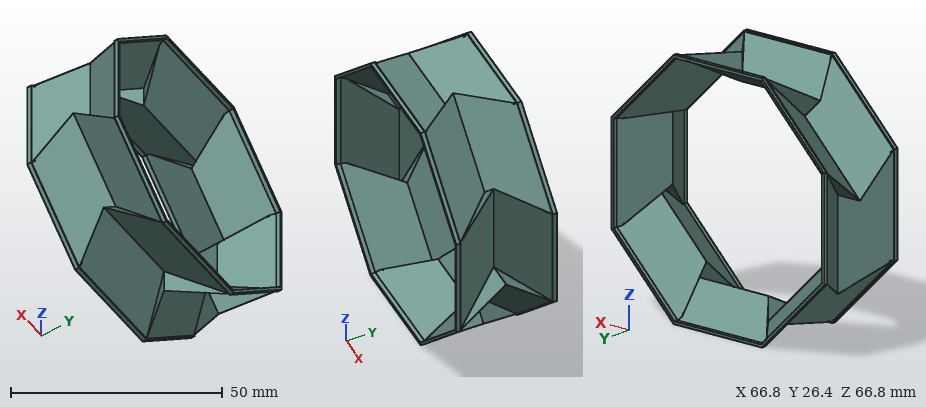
import cadquery as cq
import math

width = 66.8
depth = 26.4
rim_depth = 1.15
rim_step = 0.3
wall = 0.4
lean = math.radians(30)
sides = 8

half_turn = math.pi / sides
rim_apothem = width / 2
half_depth = depth / 2
pleat_half = half_depth - rim_depth
outer_apothem = rim_apothem - rim_step
bore_apothem = outer_apothem - wall / math.cos(lean)

fold_slope = math.tan(lean) / math.sin(2 * half_turn)
fold_angle = math.atan(fold_slope)

corner_drop = (outer_apothem - bore_apothem) * math.tan(half_turn) + wall / math.cos(fold_angle)
inner_half = pleat_half - corner_drop / math.tan(lean)
inner_apothem = bore_apothem - corner_drop


def side_point(side, along, out, y):
    """Point on an octagon side: distance along it clockwise from its middle, and out from the axis."""
    angle = 2 * half_turn * side
    x = along * math.cos(angle) + out * math.sin(angle)
    z = out * math.cos(angle) - along * math.sin(angle)
    return cq.Vector(x, y, z)


def flat_face(*points):
    return cq.Face.makeFromWires(cq.Wire.makePolygon(points, close=True))


def solid_from(faces):
    return cq.Workplane(cq.Solid.makeSolid(cq.Shell.makeShell(faces)))


def octagon_points(apothem, y):
    corner = apothem * math.tan(half_turn)
    return [side_point(side, corner, apothem, y) for side in range(sides)]


def octagon_ended(apothem_a, y_a, apothem_b, y_b):
    """Solid with flat sides between two octagons."""
    points_a = octagon_points(apothem_a, y_a)
    points_b = octagon_points(apothem_b, y_b)
    faces = [flat_face(*points_a), flat_face(*points_b)]
    for side in range(sides):
        faces.append(flat_face(points_a[side - 1], points_a[side], points_b[side], points_b[side - 1]))
    return solid_from(faces)


def pleated_body(apothem, half_length):
    """Solid octagonal body whose sides lean in to the middle plane and are joined by folded triangles."""
    corner = apothem * math.tan(half_turn)
    slide = half_length * fold_slope
    waist = apothem - half_length * math.tan(lean)
    fold_inner = corner - slide
    fold_outer = -corner - slide * math.cos(2 * half_turn)

    faces = []
    for end in (-half_length, half_length):
        faces.append(flat_face(*octagon_points(apothem, end)))
        for side in range(sides):
            rim_start = side_point(side, -corner, apothem, end)
            rim_finish = side_point(side, corner, apothem, end)
            waist_start = side_point(side, fold_outer, waist, 0)
            waist_finish = side_point(side, fold_inner, waist, 0)
            next_start = side_point(side + 1, fold_outer, waist, 0)
            faces.append(flat_face(rim_start, rim_finish, waist_finish, waist_start))
            faces.append(flat_face(rim_finish, waist_finish, next_start))
    return solid_from(faces)


result = pleated_body(outer_apothem, pleat_half)
for end in (-1, 1):
    rim = octagon_ended(rim_apothem, end * pleat_half, rim_apothem, end * half_depth)
    result = result.union(rim)

result = result.cut(pleated_body(inner_apothem, inner_half))
for end in (-1, 1):
    rim_bore = octagon_ended(bore_apothem, end * pleat_half, bore_apothem, end * half_depth)
    taper = octagon_ended(inner_apothem, end * inner_half, bore_apothem, end * pleat_half)
    result = result.cut(taper).cut(rim_bore)